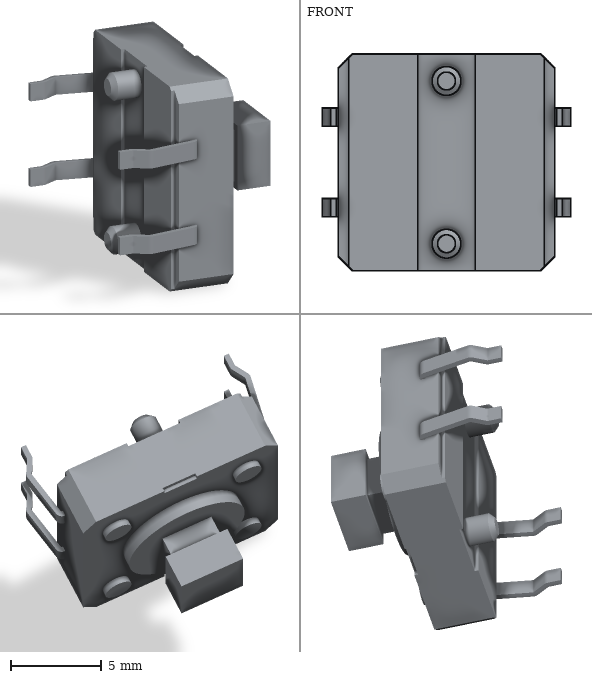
import cadquery as cq
import math


housing_side = 12.0
housing_half = housing_side / 2
corner_chamfer = 0.8
body_depth = 3.3
foot_height = 0.2
foot_outer_x = 5.4
channel_half_width = 1.6

peg_diameter = 1.6
peg_length = 1.7
peg_chamfer = 0.3
peg_offset = 4.5

cover_thickness = 0.2
rim_width = 0.3
cover_side = housing_side - 2 * rim_width
cover_chamfer = corner_chamfer - rim_width * (2 - math.sqrt(2))
notch_width = 2.01

rivet_diameter = 1.6
rivet_height = 0.37
rivet_offset = 4.0

collar_diameter = 7.11
collar_height = 0.8
neck_side = 3.0
neck_length = 1.2
head_side = 3.8
head_length = 2.0

lead_width = 1.02
lead_thickness = 0.3
lead_inner_radius = 0.1
lead_outer_radius = lead_inner_radius + lead_thickness
lead_offset = 2.5
lead_span = 13.76
shoulder_y = -2.4
knee_y = -5.33
tip_x = 6.25
tip_y = -7.0
upper_lean = math.radians(9.8)
lower_lean = math.radians(30)
knee_mitre = (math.cos(upper_lean) + math.cos(lower_lean)) / (1 + math.cos(upper_lean + lower_lean))
knee_centre_x = lead_span / 2 - lead_outer_radius
knee_x = knee_centre_x + knee_mitre * (lead_inner_radius + lead_thickness / 2)
shoulder_x = knee_x - (shoulder_y - knee_y) * math.tan(upper_lean)
ankle_y = knee_y - (knee_x - tip_x) / math.tan(lower_lean)
lead_path = [
    (housing_half, shoulder_y),
    (shoulder_x, shoulder_y),
    (knee_x, knee_y),
    (tip_x, ankle_y),
    (tip_x, tip_y),
]


def plane_at(y):
    """Work plane at height y that faces +Y, with local axes along X and -Z."""
    return cq.Workplane("XZ", origin=(0, y, 0)).transformed(rotate=(180, 0, 0))


def chamfered_square(side, chamfer, y_low, height):
    """Square plate with cut corners that starts at y_low and rises towards +Y."""
    return plane_at(y_low).rect(side, side).extrude(height).edges("|Y").chamfer(chamfer)


def square_grid(offset):
    """Four points on the corners of a centred square."""
    return [(sx * offset, sz * offset) for sx in (-1, 1) for sz in (-1, 1)]


def make_feet():
    """Two raised pads, one on each side of the central channel, trimmed by the cut corners."""
    pad_width = foot_outer_x - channel_half_width
    pad_centre = (foot_outer_x + channel_half_width) / 2
    pads = (
        plane_at(-body_depth - foot_height)
        .pushPoints([(-pad_centre, 0), (pad_centre, 0)])
        .rect(pad_width, housing_side)
        .extrude(foot_height)
    )
    outline = chamfered_square(housing_side, corner_chamfer, -body_depth - foot_height, foot_height)
    return pads.intersect(outline)


def make_pegs():
    """Two chamfered pegs that stand on the channel floor."""
    return (
        plane_at(-body_depth)
        .pushPoints([(0, -peg_offset), (0, peg_offset)])
        .circle(peg_diameter / 2)
        .extrude(-peg_length)
        .faces("<Y")
        .chamfer(peg_chamfer)
    )


def make_rivets():
    """Four rivet heads that rise from the floor of the cover recess."""
    return (
        plane_at(-cover_thickness)
        .pushPoints(square_grid(rivet_offset))
        .circle(rivet_diameter / 2)
        .extrude(cover_thickness + rivet_height)
    )


def make_housing():
    body = chamfered_square(housing_side, corner_chamfer, -body_depth, body_depth)
    recess = chamfered_square(cover_side, cover_chamfer, -cover_thickness, cover_thickness)
    rim_notches = plane_at(-cover_thickness).rect(notch_width, housing_side).extrude(cover_thickness)
    body = body.cut(recess).cut(rim_notches)
    return body.union(make_feet()).union(make_pegs()).union(make_rivets())


def make_cover():
    """Flat plate with holes for the rivets and for the plunger collar."""
    plate = chamfered_square(cover_side, cover_chamfer, -cover_thickness, cover_thickness)
    rivet_holes = (
        plane_at(-cover_thickness)
        .pushPoints(square_grid(rivet_offset))
        .circle(rivet_diameter / 2)
        .extrude(cover_thickness)
    )
    collar_hole = plane_at(-cover_thickness).circle(collar_diameter / 2).extrude(cover_thickness)
    return plate.cut(rivet_holes).cut(collar_hole)


def make_plunger():
    """Round collar through the cover, square neck and wider square head."""
    collar = plane_at(-cover_thickness).circle(collar_diameter / 2).extrude(cover_thickness + collar_height)
    neck = plane_at(collar_height).rect(neck_side, neck_side).extrude(neck_length)
    head = plane_at(collar_height + neck_length).rect(head_side, head_side).extrude(head_length)
    return collar.union(neck).union(head)


def offset_path(path, distance):
    """Corners of the path moved sideways by distance, positive to the left of travel."""
    points = [cq.Vector(x, y) for x, y in path]
    normals = []
    for start, end in zip(points, points[1:]):
        along = (end - start).normalized()
        normals.append(cq.Vector(-along.y, along.x))
    before = [normals[0]] + normals
    after = normals + [normals[-1]]
    moved = []
    for point, n1, n2 in zip(points, before, after):
        corner = point + (n1 + n2) * (distance / (1 + n1.dot(n2)))
        moved.append((corner.x, corner.y))
    return moved


def make_lead():
    """Bent strip on the +X side, centred on z = 0."""
    left = offset_path(lead_path, lead_thickness / 2)
    right = offset_path(lead_path, -lead_thickness / 2)
    lead = cq.Workplane("XY").polyline(left + right[::-1]).close().extrude(lead_width / 2, both=True)
    inner_corners = [right[1], right[2], left[3]]
    outer_corners = [left[1], left[2], right[3]]
    for corners, radius in ((inner_corners, lead_inner_radius), (outer_corners, lead_outer_radius)):
        for x, y in corners:
            lead = lead.edges(cq.selectors.NearestToPointSelector((x, y, 0))).fillet(radius)
    return lead


def make_leads():
    """Two leads on the +X side and their mirror images on the -X side."""
    leads = []
    for z in (-lead_offset, lead_offset):
        lead = make_lead().translate((0, 0, z))
        leads.append(lead.val())
        leads.append(lead.mirror("YZ").val())
    return leads


housing = make_housing()
cover = make_cover()
plunger = make_plunger()
leads = make_leads()

result = cq.Compound.makeCompound([housing.val(), cover.val(), plunger.val(), *leads])